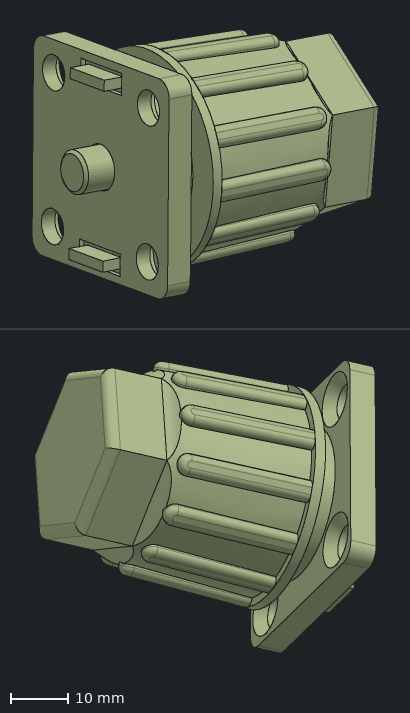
import cadquery as cq
import math


HEX_SIDES = 6

plate_side = 40.0
plate_thickness = 5.0
plate_corner_radius = 3.0
plate_tilt = 0.7
screw_hole_diameter = 6.5
screw_hole_spacing = 28.0
countersink_diameter = 10.0
countersink_angle = 82.0

tab_width = 10.0
tab_height = 2.0
tab_projection = 3.0
tab_offset = 16.45
recess_margin = 1.0
recess_depth = 1.0

neck_diameter = 28.0
neck_length = 4.8
bore_diameter = 8.4

shaft_diameter = 8.0
shaft_projection = 6.15
shaft_chamfer = 0.6

total_length = 55.95
knob_turn = 7.2
flange_diameter = 40.0
flange_thickness = 1.95
grip_base_radius = 18.45
hex_across_flats = 30.0
hex_length = 11.0
hex_edge_fillet = 1.95
shoulder_width = 2.45
shoulder_depth = 2.2
shoulder_bulge = 0.3

rib_count = 12
rib_width = 4.0
rib_edge_fillet = 1.35
rib_base_radius = 19.9
rib_taper = 1.9
rib_root_radius = 15.65
rib_end_gap = 1.9

knob_start = plate_thickness + neck_length
grip_start = knob_start + flange_thickness
knob_end = total_length - shaft_projection
grip_end = knob_end - hex_length
rib_end = grip_end - rib_end_gap

hex_corner_radius = hex_across_flats / 2 / math.cos(math.pi / 6)


def plane_at(y):
    """Workplane across the axis, with local axes X and Z."""
    return cq.Workplane("XZ", origin=(0, y, 0))


def turn(shape, angle):
    """Rotate a shape about the assembly axis, from +Z toward +X."""
    return shape.rotate((0, 0, 0), (0, 1, 0), angle)


def cylinder(diameter, start, end):
    return plane_at(start).circle(diameter / 2).extrude(start - end)


def hexagon(across_flats, start, end):
    """Hexagonal prism with one corner pointing along +Z."""
    corner_diameter = across_flats / math.cos(math.pi / 6)
    prism = plane_at(start).polygon(HEX_SIDES, corner_diameter).extrude(start - end)
    return turn(prism, 30)


def make_plate():
    plate = plane_at(0).rect(plate_side, plate_side).extrude(-plate_thickness)
    plate = plate.edges("|Y").fillet(plate_corner_radius)
    plate = (
        plate.faces(">Y")
        .workplane(origin=(0, plate_thickness, 0))
        .rect(screw_hole_spacing, screw_hole_spacing, forConstruction=True)
        .vertices()
        .cskHole(screw_hole_diameter, countersink_diameter, countersink_angle)
    )
    tab_centres = [(0, tab_offset), (0, -tab_offset)]
    recesses = (
        plane_at(0)
        .pushPoints(tab_centres)
        .rect(tab_width + 2 * recess_margin, tab_height + 2 * recess_margin)
        .extrude(-recess_depth)
    )
    tabs = (
        plane_at(-tab_projection)
        .pushPoints(tab_centres)
        .rect(tab_width, tab_height)
        .extrude(-tab_projection - recess_depth)
    )
    plate = plate.cut(recesses).union(tabs)
    neck = cylinder(neck_diameter, plate_thickness, knob_start)
    bore = cylinder(bore_diameter, 0, knob_start)
    return turn(plate.union(neck).cut(bore), plate_tilt)


def make_shaft():
    shaft = cylinder(shaft_diameter, -shaft_projection, knob_start)
    return shaft.faces("<Y").chamfer(shaft_chamfer)


def make_shoulder_cutter():
    """Bar along the +Z side of the hexagon that leaves a slightly domed slope below it."""
    inner = hex_across_flats / 2
    outer = inner + 2 * shoulder_width
    return (
        cq.Workplane("YZ", origin=(-hex_corner_radius, 0, 0))
        .moveTo(grip_end, inner)
        .sagittaArc((grip_end - shoulder_depth, inner + shoulder_width), shoulder_bulge)
        .lineTo(grip_end - shoulder_depth, outer)
        .lineTo(grip_end, outer)
        .close()
        .extrude(2 * hex_corner_radius)
    )


def make_grip():
    """Cone whose end slopes up to the six sides of the hexagon."""
    grip = (
        cq.Workplane("XY")
        .moveTo(0, grip_start)
        .lineTo(grip_base_radius, grip_start)
        .lineTo(hex_corner_radius, grip_end)
        .lineTo(0, grip_end)
        .close()
        .revolve(360, (0, 0, 0), (0, 1, 0))
    )
    cutter = make_shoulder_cutter()
    for side in range(HEX_SIDES):
        grip = grip.cut(turn(cutter, 30 + side * 360 / HEX_SIDES))
    return grip


def make_rib():
    """Round-ended rib on the +Z side; its root end is buried in the flange."""
    root = grip_start - flange_thickness / 2
    tip_centre = rib_end - rib_width / 2
    rib = (
        cq.Workplane("XY", origin=(0, 0, rib_root_radius))
        .moveTo(-rib_width / 2, root)
        .lineTo(-rib_width / 2, tip_centre)
        .threePointArc((0, rib_end), (rib_width / 2, tip_centre))
        .lineTo(rib_width / 2, root)
        .close()
        .extrude(rib_base_radius - rib_root_radius)
    )
    rib = rib.faces(">Z").edges("not <Y").fillet(rib_edge_fillet)
    pivot = (0, grip_start, rib_base_radius)
    pivot_end = (1, grip_start, rib_base_radius)
    return rib.rotate(pivot, pivot_end, -rib_taper)


def make_knob():
    knob = cylinder(flange_diameter, knob_start, grip_start).union(make_grip())
    head = hexagon(hex_across_flats, grip_end, knob_end)
    head = head.faces(">Y").edges().fillet(hex_edge_fillet)
    knob = knob.union(head)
    rib = make_rib()
    for index in range(rib_count):
        knob = knob.union(turn(rib, index * 360 / rib_count))
    return turn(knob, knob_turn)


plate = make_plate()
shaft = make_shaft()
knob = make_knob()

result = cq.Compound.makeCompound([body.solids().val() for body in (plate, shaft, knob)])